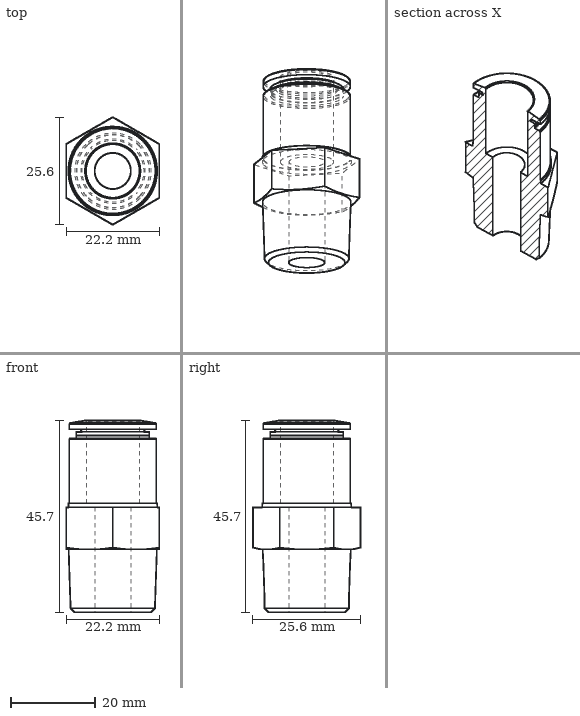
import cadquery as cq
import math

end_chamfer = 0.95
hex_bottom_z = 15.0
hex_height = 10.0
hex_top_z = hex_bottom_z + hex_height
step_top_z = 25.95
body_top_z = 41.5
groove_bottom_z = 42.1
collar_top_z = 42.95
flange_bottom_z = 43.55
flange_top_z = 45.1
total_height = 45.7

thread_top_diameter = 21.05
thread_taper = 1 / 16
step_diameter = 21.2
body_diameter = 20.8
collar_diameter = 17.45
neck_diameter = 14.7
rim_chamfer = 0.27
neck_flare = 0.3
groove_width = 0.15
groove_depth = 0.1

hex_across_flats = 22.2
hex_corner_radius = hex_across_flats / math.sqrt(3)
hex_chamfer_angle = 15.0

passage_diameter = 8.55
socket_diameter = 12.7
socket_mouth_diameter = 13.25
socket_bottom_z = hex_top_z


def make_turned_body():
    """Solid of revolution with every round outside surface."""
    thread_top = thread_top_diameter / 2
    thread_end = thread_top - thread_taper * hex_bottom_z / 2
    step = step_diameter / 2
    body = body_diameter / 2
    collar = collar_diameter / 2
    neck = neck_diameter / 2
    groove = collar - groove_depth
    groove_top_z = groove_bottom_z + groove_width
    profile = [
        (0, 0),
        (thread_end - end_chamfer, 0),
        (thread_end, end_chamfer),
        (thread_top, hex_bottom_z),
        (thread_top, hex_top_z),
        (step, hex_top_z),
        (step, step_top_z),
        (body, step_top_z),
        (body, body_top_z - rim_chamfer),
        (body - rim_chamfer, body_top_z),
        (collar, body_top_z),
        (collar, groove_bottom_z),
        (groove, groove_bottom_z),
        (groove, groove_top_z),
        (collar, groove_top_z),
        (collar, collar_top_z),
        (neck, collar_top_z),
        (neck + neck_flare, flange_bottom_z),
        (body, flange_bottom_z),
        (body, flange_top_z - rim_chamfer),
        (body - rim_chamfer, flange_top_z),
        (socket_mouth_diameter / 2, total_height),
        (0, total_height),
    ]
    return cq.Workplane("XZ").polyline(profile).close().revolve(360, (0, 0), (0, 1))


def make_hexagon():
    """Hexagon with corners on the Y axis, its lower corners turned off by a cone."""
    prism = (
        cq.Workplane("XY", origin=(0, 0, hex_bottom_z))
        .transformed(rotate=(0, 0, 90))
        .polygon(6, 2 * hex_corner_radius)
        .extrude(hex_height)
    )
    flat_radius = hex_across_flats / 2
    cone_rise = (hex_corner_radius - flat_radius) * math.tan(math.radians(hex_chamfer_angle))
    envelope_profile = [
        (0, hex_bottom_z),
        (flat_radius, hex_bottom_z),
        (hex_corner_radius, hex_bottom_z + cone_rise),
        (hex_corner_radius, hex_top_z),
        (0, hex_top_z),
    ]
    envelope = cq.Workplane("XZ").polyline(envelope_profile).close().revolve(360, (0, 0), (0, 1))
    return prism.intersect(envelope)


def make_bore():
    """Stepped bore: narrow passage, tube socket and chamfered mouth."""
    passage = passage_diameter / 2
    socket = socket_diameter / 2
    mouth = socket_mouth_diameter / 2
    mouth_chamfer = mouth - socket
    profile = [
        (0, 0),
        (passage, 0),
        (passage, socket_bottom_z),
        (socket, socket_bottom_z),
        (socket, total_height - mouth_chamfer),
        (mouth, total_height),
        (0, total_height),
    ]
    return cq.Workplane("XZ").polyline(profile).close().revolve(360, (0, 0), (0, 1))


result = make_turned_body().union(make_hexagon()).cut(make_bore())